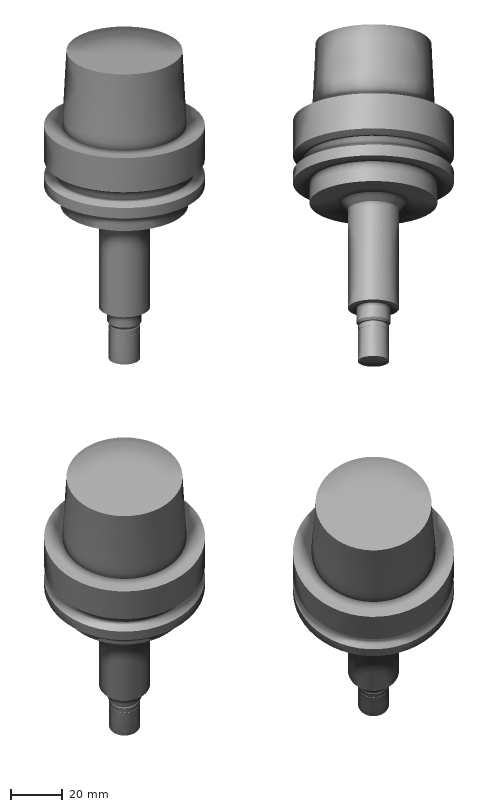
import cadquery as cq

total_length = 132.0

taper_top_diameter = 45.4
taper_base_diameter = 48.5
flange_diameter = 63.0
flange_groove_diameter = 55.0
groove_wall_diameter = 57.4
hub_diameter = 50.0
cone_diameter = 25.7
shank_diameter = 20.0
collar_diameter = 13.5
collar_chamfer_diameter = 12.0
neck_diameter = 10.5
tip_diameter = 12.3
tip_groove_diameter = 12.0

taper_length = 29.8
taper_base_length = 2.1
flange_length = 25.9
groove_upper_offset = 14.7
groove_mouth_width = 6.7
groove_side_height = 1.6
hub_length = 8.3
cone_length = 2.8
tip_length = 14.5
neck_length = 0.7
collar_length = 6.9
collar_chamfer_height = 0.9
tip_groove_offset = 1.8
tip_groove_width = 0.5

taper_base_top = total_length - taper_length
flange_top = taper_base_top - taper_base_length
flange_bottom = flange_top - flange_length
hub_bottom = flange_bottom - hub_length
cone_bottom = hub_bottom - cone_length
neck_top = tip_length + neck_length
collar_top = neck_top + collar_length


def cylinder(diameter, bottom, top):
    """Round section between two levels."""
    return cq.Workplane("XY").workplane(offset=bottom).circle(diameter / 2).extrude(top - bottom)


def tapered(bottom_diameter, top_diameter, bottom, top):
    """Conical section between two levels."""
    profile = [(0, bottom), (bottom_diameter / 2, bottom), (top_diameter / 2, top), (0, top)]
    return cq.Workplane("XZ").polyline(profile).close().revolve(360, (0, 0), (0, 1))


def ring_groove(outer_diameter, floor_diameter, bottom, top):
    """Straight-sided cutter for a groove around a cylinder."""
    return cylinder(outer_diameter, bottom, top).cut(cylinder(floor_diameter, bottom, top))


taper = tapered(taper_base_diameter, taper_top_diameter, taper_base_top, total_length)
taper_base = cylinder(taper_base_diameter, flange_top, taper_base_top)

groove_top = flange_top - groove_upper_offset
groove_bottom = groove_top - groove_mouth_width
slot_top = groove_top - groove_side_height
slot_bottom = groove_bottom + groove_side_height
flange_sections = [
    cylinder(flange_diameter, groove_top, flange_top),
    tapered(groove_wall_diameter, flange_diameter, slot_top, groove_top),
    cylinder(flange_groove_diameter, slot_bottom, slot_top),
    tapered(flange_diameter, groove_wall_diameter, groove_bottom, slot_bottom),
    cylinder(flange_diameter, flange_bottom, groove_bottom),
]

hub = cylinder(hub_diameter, hub_bottom, flange_bottom)
cone = tapered(shank_diameter, cone_diameter, cone_bottom, hub_bottom)
shank = cylinder(shank_diameter, collar_top, cone_bottom)

chamfer_top = neck_top + collar_chamfer_height
collar = cylinder(collar_diameter, chamfer_top, collar_top)
collar_chamfer = tapered(collar_chamfer_diameter, collar_diameter, neck_top, chamfer_top)
neck = cylinder(neck_diameter, tip_length, neck_top)

tip_groove_top = tip_length - tip_groove_offset
tip = cylinder(tip_diameter, 0, tip_length).cut(
    ring_groove(tip_diameter, tip_groove_diameter, tip_groove_top - tip_groove_width, tip_groove_top)
)

result = taper
for section in (taper_base, *flange_sections, hub, cone, shank, collar, collar_chamfer, neck, tip):
    result = result.union(section)